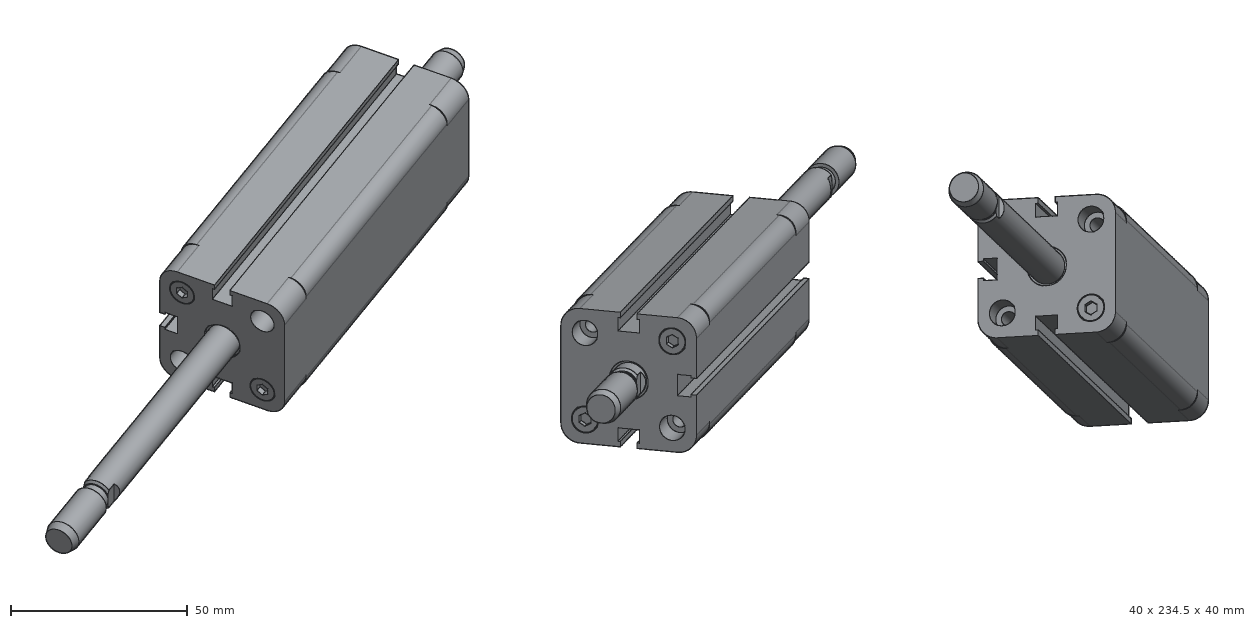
import cadquery as cq

body_width = 40.0
body_length = 110.0
cap_length = 13.0
front_rod_length = 97.5
overall_length = 234.5
rear_rod_length = overall_length - body_length - front_rod_length
cap_corner_radius = 5.6
tube_corner_radius = 5.0

slot_opening = 5.0
slot_width = 6.3
slot_lip = 1.6
slot_depth = 5.6
slot_angles = (0, 90, 180)

corner_offset = 13.0
mount_hole_diameter = 4.2
mount_bore_diameter = 7.5
mount_bore_depth = 7.5
screw_bore_diameter = 8.0
screw_head_diameter = 7.5
screw_gap_depth = 3.0
socket_corner_width = 4.0
socket_depth = 1.9

rod_diameter = 10.0
rod_recess_diameter = 11.5
rod_recess_depth = 1.0
thread_length = 19.0
tip_diameter = 8.5
tip_length = 2.5
neck_diameter = 8.0
neck_length = 3.0
shoulder_chamfer = 0.7
flat_width = 7.7
flat_length = 3.8

half_width = body_width / 2
rod_radius = rod_diameter / 2


def disc(diameter, start, length, x=0, z=0):
    """Cylinder along +Y from Y = start."""
    plane = cq.Plane(origin=(x, start, z), xDir=(1, 0, 0), normal=(0, 1, 0))
    return cq.Workplane(plane).circle(diameter / 2).extrude(length)


def rounded_block(start, length, corner_radius):
    block = cq.Workplane("XY").box(body_width, length, body_width)
    return block.edges("|Y").fillet(corner_radius).translate((0, start + length / 2, 0))


def sensor_slot(angle):
    """T-shaped slot in the top face, turned about Y onto the wanted face."""
    neck_half = slot_opening / 2
    channel_half = slot_width / 2
    lip_underside = half_width - slot_lip
    floor = half_width - slot_depth
    right_side = [
        (channel_half, floor),
        (channel_half, lip_underside),
        (neck_half, lip_underside),
        (neck_half, half_width),
    ]
    left_side = [(-x, z) for x, z in reversed(right_side)]
    slot = cq.Workplane("XZ").polyline(right_side + left_side).close().extrude(-body_length)
    return slot.rotate((0, 0, 0), (0, 1, 0), -angle)


def cap_screw_cut(x, z):
    """Gap around a flush screw head, and its hexagon socket."""
    gap = disc(screw_bore_diameter, 0, screw_gap_depth, x, z)
    gap = gap.cut(disc(screw_head_diameter, 0, screw_gap_depth, x, z))
    plane = cq.Plane(origin=(x, 0, z), xDir=(0, 0, 1), normal=(0, 1, 0))
    socket = cq.Workplane(plane).polygon(6, socket_corner_width).extrude(socket_depth)
    return gap.union(socket)


def cap_face_cuts():
    """Everything sunk into the front cap face."""
    cuts = disc(rod_recess_diameter, 0, rod_recess_depth)
    for side in (-1, 1):
        offset = side * corner_offset
        cuts = cuts.union(disc(mount_bore_diameter, 0, mount_bore_depth, offset, offset))
        cuts = cuts.union(cap_screw_cut(offset, -offset))
    return cuts


def mirror_to_rear(shape):
    return shape.mirror("XZ").translate((0, body_length, 0))


def make_body():
    body = rounded_block(0, cap_length, cap_corner_radius)
    body = body.union(rounded_block(cap_length, body_length - 2 * cap_length, tube_corner_radius))
    body = body.union(rounded_block(body_length - cap_length, cap_length, cap_corner_radius))
    for angle in slot_angles:
        body = body.cut(sensor_slot(angle))
    for offset in (-corner_offset, corner_offset):
        body = body.cut(disc(mount_hole_diameter, 0, body_length, offset, offset))
    face_cuts = cap_face_cuts()
    return body.cut(face_cuts).cut(mirror_to_rear(face_cuts))


def rod_end(length):
    """Rod from the middle of the body to a threaded tip at Y = -length."""
    tip = -length
    neck_start = tip + thread_length
    shoulder = neck_start + neck_length
    profile = [
        (0, tip),
        (tip_diameter / 2, tip),
        (rod_radius, tip + tip_length),
        (rod_radius, neck_start),
        (neck_diameter / 2, neck_start),
        (neck_diameter / 2, shoulder),
        (rod_radius - shoulder_chamfer, shoulder),
        (rod_radius, shoulder + shoulder_chamfer),
        (rod_radius, body_length / 2),
        (0, body_length / 2),
    ]
    rod = cq.Workplane("XY").polyline(profile).close().revolve(360, (0, 0, 0), (0, 1, 0))

    flat = flat_width / 2
    runout = rod_radius - flat
    for side in (-1, 1):
        flat_cut = (
            cq.Workplane("XY")
            .polyline([
                (side * flat, shoulder),
                (side * flat, shoulder + flat_length),
                (side * rod_radius, shoulder + flat_length + runout),
                (side * rod_radius, shoulder),
            ])
            .close()
            .extrude(rod_radius, both=True)
        )
        rod = rod.cut(flat_cut)
    return rod


result = make_body().union(rod_end(front_rod_length)).union(mirror_to_rear(rod_end(rear_rod_length)))